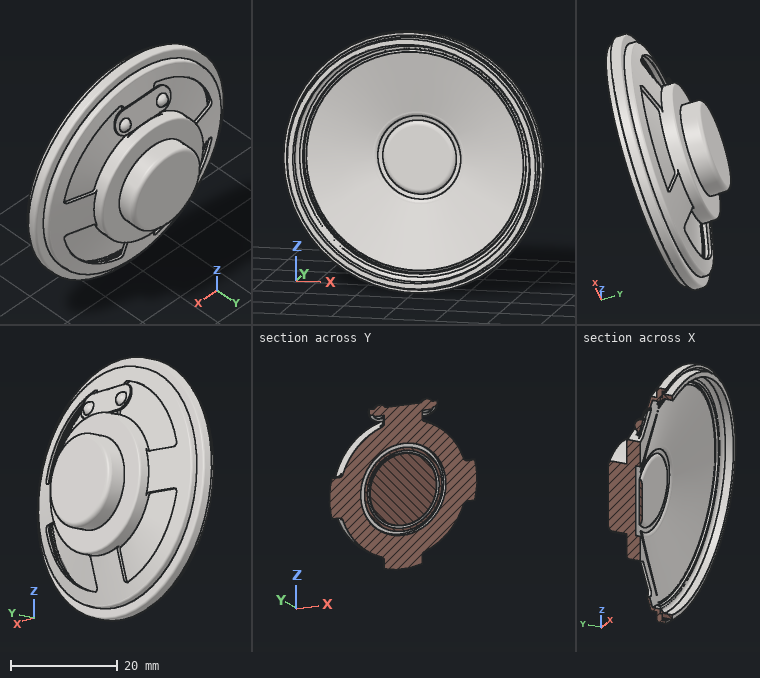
import cadquery as cq
import math


flange_radius = 25.0
flange_front = 1.35
flange_back = 3.3
shoulder_radius = 23.0
shoulder_back = 4.65
rim_fillet = 0.45

plate_radius = 13.5
plate_front = 6.6
plate_back = 9.45
magnet_radius = 9.0
magnet_back = 13.3
magnet_fillet = 0.9
coil_recess_radius = 8.9
coil_recess_floor = 7.5

wall_thickness = 0.65
hub_back = plate_front + wall_thickness
wall_slope = (hub_back - shoulder_back) / (shoulder_radius - rim_fillet - plate_radius)
wall_angle = math.degrees(math.atan(wall_slope))
spoke_half_width = 4.0
window_outer_radius = 20.1
window_fillet = 0.75

board_length = 14.5
board_width = 5.3
board_centre_z = 16.15
board_lift = 0.25
board_root = 0.1
solder_radius = 1.45
solder_spacing = 9.8
solder_offset = 0.45
solder_sink = 0.2

sheet = 0.2
gasket_outer_radius = 23.95
gasket_bore_radius = 22.9
seat_radius = 24.4
seat_front = 1.85
cone_slope = 0.275
surround_outer_radius = 22.15
surround_inner_radius = 21.55
surround_outer_y = 2.3
surround_edge_y = 1.65
groove_radius = 21.4
cone_outer_radius = 20.95
cone_outer_y = 2.75
groove_depth = 0.25
groove_sag = 0.05
neck_radius = 8.9
neck_lip_radius = 8.6
neck_lip_rise = 0.05
neck_step = 0.4
neck_bulge = 0.05
cap_seat_radius = 8.0
cap_base_radius = 7.1
cap_face_radius = 6.15
cap_rise = 0.55

neck_y = cone_outer_y + (cone_outer_radius - neck_radius) * cone_slope
neck_lip_y = neck_y + neck_lip_rise
cap_seat_y = neck_lip_y + neck_step
cap_base_y = cap_seat_y + (cap_seat_radius - cap_base_radius) * cone_slope
cap_face_y = cap_base_y - cap_rise
groove_y = cone_outer_y + groove_depth
surround_inner_y = surround_outer_y + (surround_outer_radius - surround_inner_radius) * cone_slope

ledge_y = surround_outer_y + sheet
pocket_radius = gasket_bore_radius + sheet


def turned(profile):
    """Revolve a closed (radius, y) profile about the Y axis."""
    return profile.close().revolve(360, (0, 0, 0), (0, 1, 0))


def disc(radius, front, back):
    """Cylinder on the Y axis between two Y positions."""
    return cq.Workplane("XZ", origin=(0, front, 0)).circle(radius).extrude(front - back)


def window():
    """One window blank, in the +X +Z quadrant."""
    depth = 2 * magnet_back
    ring = disc(window_outer_radius, 0, depth).cut(disc(plate_radius, 0, depth))
    quadrant = cq.Workplane("XY").box(
        flange_radius, depth, flange_radius, centered=False
    ).translate((spoke_half_width, 0, spoke_half_width))
    return ring.intersect(quadrant).edges("|Y").fillet(window_fillet)


def basket_wall():
    """Flange, shoulder and conical wall, open at the front, with the windows cut through."""
    shoulder_corner = shoulder_radius - rim_fillet
    arc_drop = rim_fillet * (1 - math.sqrt(0.5))
    wall = turned(
        cq.Workplane("ZY")
        .moveTo(seat_radius, flange_front)
        .lineTo(flange_radius, flange_front)
        .lineTo(flange_radius, flange_back - rim_fillet)
        .threePointArc(
            (flange_radius - arc_drop, flange_back - arc_drop),
            (flange_radius - rim_fillet, flange_back),
        )
        .lineTo(shoulder_radius, flange_back)
        .lineTo(shoulder_radius, shoulder_back - rim_fillet)
        .threePointArc(
            (shoulder_radius - arc_drop, shoulder_back - arc_drop),
            (shoulder_corner, shoulder_back),
        )
        .lineTo(plate_radius, hub_back)
        .lineTo(plate_radius - wall_thickness, hub_back)
        .lineTo(plate_radius - wall_thickness, plate_front)
        .lineTo(plate_radius, plate_front)
        .lineTo(surround_outer_radius, hub_back - (surround_outer_radius - plate_radius) * wall_slope - wall_thickness)
        .lineTo(surround_outer_radius, ledge_y)
        .lineTo(pocket_radius, ledge_y)
        .lineTo(pocket_radius, seat_front + sheet)
        .lineTo(seat_radius, seat_front + sheet)
    )
    blank = window()
    for quarter in range(4):
        wall = wall.cut(blank.rotate((0, 0, 0), (0, 1, 0), 90 * quarter))
    return wall


def magnet_assembly():
    """Pole plate and magnet, with a recess for the neck of the diaphragm."""
    plate = disc(plate_radius, plate_front, plate_back).faces(">Y").edges().fillet(rim_fillet)
    magnet = disc(magnet_radius, plate_back, magnet_back).faces(">Y").edges().fillet(magnet_fillet)
    return plate.union(magnet).cut(disc(coil_recess_radius, plate_front, coil_recess_floor))


def terminal_board():
    """Board lying along the +Z spoke, with two solder domes."""
    board = (
        cq.Workplane("XZ", origin=(0, -board_root, 0))
        .slot2D(board_length, board_width)
        .extrude(-board_root - board_lift)
    )
    for side in (-1, 1):
        dome = cq.Workplane("XY").sphere(solder_radius)
        above_root = disc(solder_radius, 0, solder_radius)
        dome = dome.intersect(above_root).translate((side * solder_spacing / 2, -solder_sink, -solder_offset))
        board = board.union(dome)
    spoke_y = hub_back - (board_centre_z - plate_radius) * wall_slope
    return board.rotate((0, 0, 0), (1, 0, 0), wall_angle).translate((0, spoke_y, board_centre_z))


def make_frame():
    """Basket, magnet assembly and terminal board as one solid."""
    return basket_wall().union(magnet_assembly()).union(terminal_board()).clean()


def make_diaphragm():
    """Gasket ring, surround, cone and dust cap in one thin turned body."""
    return turned(
        cq.Workplane("ZY")
        .moveTo(0, cap_face_y)
        .lineTo(cap_face_radius, cap_face_y)
        .tangentArcPoint((cap_base_radius, cap_base_y), relative=False)
        .lineTo(cap_seat_radius, cap_seat_y)
        .sagittaArc((neck_lip_radius, neck_lip_y), -neck_bulge)
        .lineTo(neck_radius, neck_y)
        .lineTo(cone_outer_radius, cone_outer_y)
        .sagittaArc((groove_radius, groove_y), groove_sag)
        .lineTo(surround_inner_radius, surround_inner_y)
        .lineTo(surround_outer_radius, surround_outer_y)
        .tangentArcPoint((gasket_bore_radius, surround_edge_y), relative=False)
        .lineTo(gasket_bore_radius, 0)
        .lineTo(gasket_outer_radius, 0)
        .lineTo(gasket_outer_radius, seat_front)
        .lineTo(seat_radius, seat_front)
        .lineTo(seat_radius, seat_front + sheet)
        .lineTo(pocket_radius, seat_front + sheet)
        .lineTo(pocket_radius, ledge_y)
        .lineTo(surround_outer_radius, ledge_y)
        .lineTo(surround_inner_radius + sheet, surround_inner_y + sheet)
        .lineTo(groove_radius + sheet, groove_y + sheet)
        .lineTo(cone_outer_radius, cone_outer_y + sheet)
        .lineTo(cap_seat_radius, cap_seat_y + sheet)
        .lineTo(cap_base_radius, cap_base_y + sheet)
        .lineTo(0, cap_base_y + sheet)
    )


frame = make_frame()
diaphragm = make_diaphragm()
result = cq.Compound.makeCompound([frame.val(), diaphragm.val()])